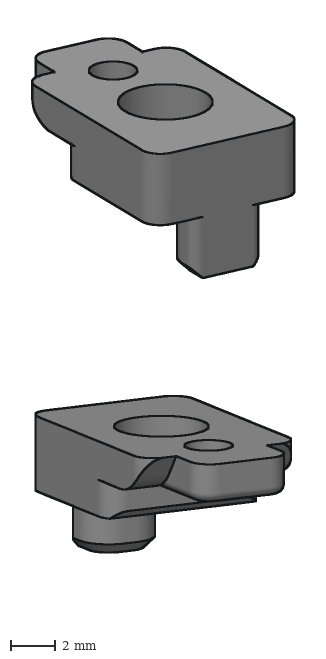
import cadquery as cq
import math


length = 13.5
width = 8.0
corner_radius = 1.0

plate_thickness = 1.8
block_depth = 3.5
pin_depth = 6.5

tongue_width = 4.7
tongue_edge_fillet = 0.4

shoulder_x = 2.35
slope_angle = math.radians(55)
slope_blend_radius = 2.0

block_x = 5.7
block_chamfer = 0.35

pin_length = 2.5
pin_width = 3.7
pin_front_radius = 1.5
pin_back_radius = 0.5
pin_chamfer = 0.5

hole_diameter = 2.2
tongue_hole_x = 3.6
hole_spacing = 4.5
screw_hole_x = tongue_hole_x + hole_spacing
counterbore_diameter = 4.3
counterbore_depth = 2.0


def prism(x_start, x_end, size_y, z_top, z_bottom):
    """Box centred on the X axis, given by its X ends and its Z levels."""
    return (
        cq.Workplane("XY", origin=((x_start + x_end) / 2, 0, z_bottom))
        .rect(x_end - x_start, size_y)
        .extrude(z_top - z_bottom)
    )


def shoulder_plate():
    """Upper plate whose -X end slopes in and blends into the flat underside."""
    blend_rise = slope_blend_radius * (1 - math.cos(slope_angle))
    slope_drop = plate_thickness - blend_rise
    slope_end_x = shoulder_x + slope_drop / math.tan(slope_angle)
    blend_end_x = slope_end_x + slope_blend_radius * math.sin(slope_angle)
    blend_centre_z = slope_blend_radius - plate_thickness
    blend_mid_x = blend_end_x - slope_blend_radius * math.sin(slope_angle / 2)
    blend_mid_z = blend_centre_z - slope_blend_radius * math.cos(slope_angle / 2)

    profile = (
        cq.Workplane("XZ")
        .moveTo(shoulder_x, 0)
        .lineTo(slope_end_x, -slope_drop)
        .threePointArc((blend_mid_x, blend_mid_z), (blend_end_x, -plate_thickness))
        .lineTo(length, -plate_thickness)
        .lineTo(length, 0)
        .close()
        .extrude(width / 2, both=True)
    )
    outline = prism(shoulder_x, length, width, 0, -plate_thickness)
    return profile.intersect(outline.edges("|Z").fillet(corner_radius))


def tongue():
    """Narrow tongue with rounded corners and a rounded bottom edge, running into the plate."""
    body = prism(0, block_x, tongue_width, 0, -plate_thickness)
    body = body.edges("|Z and <X").fillet(corner_radius)
    rounded_edges = body.faces("<Z").edges("not(>X)")
    return rounded_edges.fillet(tongue_edge_fillet)


def lower_block():
    """Deeper block under the plate, its lower -X edge cut by a flat chamfer."""
    body = prism(block_x, length, width, 0, -block_depth)
    chamfer_cut = body.edges("<X and <Z").chamfer(block_chamfer)
    outline = body.edges("|Z").fillet(corner_radius)
    lower_half = prism(block_x, length, width, -plate_thickness, -block_depth)
    return chamfer_cut.intersect(outline).intersect(lower_half)


def locating_pin():
    """Pin flush with the +X end, tapered at its tip except on the flush face."""
    blank = prism(length - pin_length, length, pin_width, -block_depth, -pin_depth)
    tapered = blank.edges("|Z and <X").fillet(pin_front_radius)
    tapered = tapered.faces("<Z").edges("not(>X)").chamfer(pin_chamfer)
    outline = blank.edges("|Z and >X").fillet(pin_back_radius)
    return tapered.intersect(outline)


def round_hole(x, diameter, depth):
    """Vertical cutter going down from the top face."""
    return cq.Workplane("XY").center(x, 0).circle(diameter / 2).extrude(-depth)


result = shoulder_plate().union(tongue()).union(lower_block()).union(locating_pin())
result = result.cut(round_hole(tongue_hole_x, hole_diameter, plate_thickness))
result = result.cut(round_hole(screw_hole_x, hole_diameter, block_depth))
result = result.cut(round_hole(screw_hole_x, counterbore_diameter, counterbore_depth))